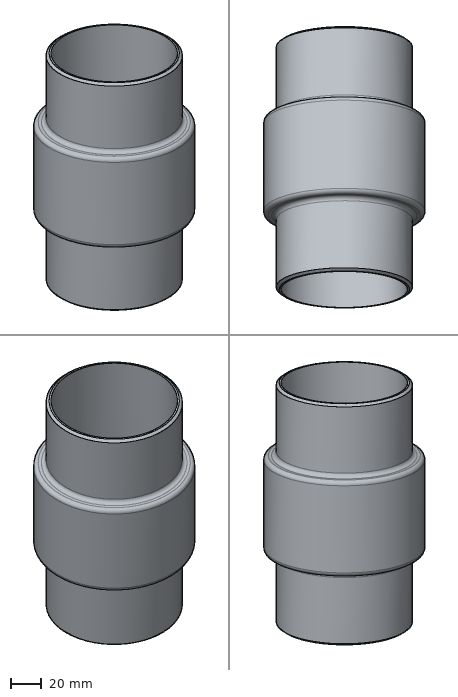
import cadquery as cq
import math

length = 166.0
tube_diameter = 88.8
bore_diameter = 82.3
collar_diameter = 105.0
collar_length = 65.9

collar_round = 3.0
root_fillet = 3.0
end_bevel_height = 1.5
end_bevel_width = 2.0


def centred_cylinder(diameter, height):
    """Cylinder on the Z axis, centred on the origin."""
    return cq.Workplane("XY").circle(diameter / 2).extrude(height / 2, both=True)


def bevelled_tube_body():
    """Solid of revolution for the tube, with both ends bevelled."""
    radius = tube_diameter / 2
    end_radius = radius - end_bevel_width
    half_length = length / 2
    bevel_start = half_length - end_bevel_height
    profile = (
        cq.Workplane("XZ")
        .moveTo(0, -half_length)
        .lineTo(end_radius, -half_length)
        .lineTo(radius, -bevel_start)
        .lineTo(radius, bevel_start)
        .lineTo(end_radius, half_length)
        .lineTo(0, half_length)
        .close()
    )
    return profile.revolve(360, (0, 0, 0), (0, 1, 0))


def root_fillet_ring(side):
    """Ring that fills the corner between tube and collar; side is +1 (top) or -1 (bottom)."""
    radius = tube_diameter / 2
    face = side * collar_length / 2
    arc_offset = root_fillet * (1 - math.sqrt(0.5))
    profile = (
        cq.Workplane("XZ")
        .moveTo(bore_diameter / 2, face)
        .lineTo(radius + root_fillet, face)
        .threePointArc(
            (radius + arc_offset, face + side * arc_offset),
            (radius, face + side * root_fillet),
        )
        .lineTo(bore_diameter / 2, face + side * root_fillet)
        .close()
    )
    return profile.revolve(360, (0, 0, 0), (0, 1, 0))


collar = centred_cylinder(collar_diameter, collar_length).edges("%CIRCLE").fillet(collar_round)
body = bevelled_tube_body().union(collar)
for side in (1, -1):
    body = body.union(root_fillet_ring(side))

result = body.cut(centred_cylinder(bore_diameter, length))